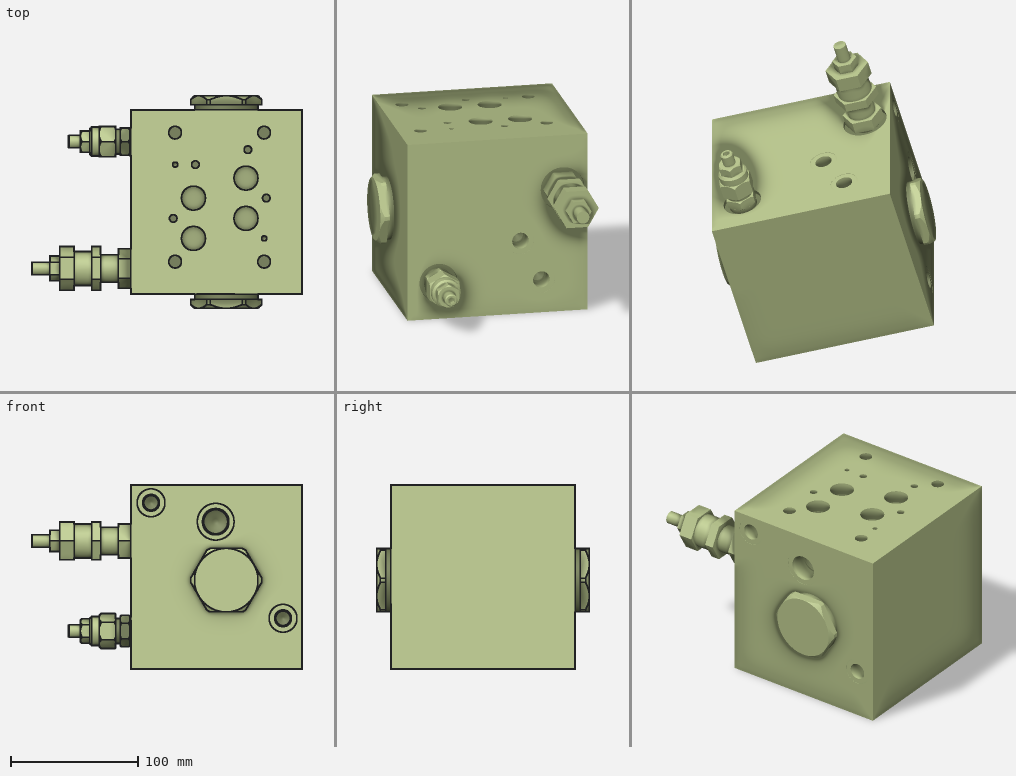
import cadquery as cq
import math


block_length = 135.0
block_side = 145.0

plug_x = 75.2
plug_z = 70.0
plug_flats = 50.0
plug_corner_diameter = 56.0
plug_neck_length = 4.0
overall_width = 167.5
plug_height = (overall_width - block_side) / 2
plug_chamfer = (plug_corner_diameter - plug_flats) / 2

drill_point_angle = 118
port_bore_depth = 15.0
port_drill_depth = 17.0
port_spot_depth = 0.2
small_port = {"spot": 22.0, "bore": 13.2, "drill": 11.5}
large_port = {"spot": 29.0, "bore": 20.9, "drill": 19.0}
front_small_ports = [(16.0, 131.0), (120.0, 40.0)]
front_large_port = (66.9, 116.0)
left_small_ports = [(54.0, 60.0), (37.3, 27.0)]

bolt_x = 35.0
bolt_y = 25.5
bolt_spacing_x = 70.0
bolt_spacing_y = 101.5
bolt_hole_diameter = 10.0
bolt_hole_depth = 21.3
bolt_hole_points = [
    (bolt_x + i * bolt_spacing_x, bolt_y + j * bolt_spacing_y) for i in (0, 1) for j in (0, 1)
]

flow_hole_diameter = 19.0
flow_hole_depth = 10.0
flow_hole_points = [(49.5, 43.9), (49.5, 75.6), (90.7, 59.6), (90.7, 91.4)]

pilot_hole_diameter = 6.0
pilot_hole_depth = 17.0
pilot_hole_points = [(33.5, 59.6), (51.0, 102.0), (92.2, 113.7), (106.7, 75.6)]

pin_hole_diameter = 4.0
pin_hole_depth = 8.5
pin_hole_points = [(35.0, 102.0), (105.0, 43.9)]

seat_depth = 3.2

stem_diameter = 10.0

large_valve_y = 20.2
large_valve_z = 101.0
large_valve_seat_diameter = 35.1
large_base_length = 9.8
large_base_flats = 27.0
large_neck_length = 13.8
large_neck_diameter = 22.0
large_collar_length = 7.2
large_flats = 30.0
large_barrel_length = 13.6
large_barrel_diameter = 27.0
large_cap_length = 11.5
large_nut_length = 7.7
large_nut_flats = 17.0
large_stem_length = 14.3

small_valve_y = 120.1
small_valve_z = 30.0
small_valve_seat_diameter = 30.5
small_flange_length = 0.6
small_flange_diameter = 22.2
small_base_length = 7.7
small_base_flats = 21.7
small_base_chamfer = 1.0
small_neck_length = 3.6
small_neck_diameter = 19.8
small_body_length = 13.0
small_body_flats = 24.0
small_body_inner_chamfer = 0.9
small_body_outer_chamfer = 1.7
small_barrel_length = 7.2
small_barrel_diameter = 23.0
small_barrel_chamfer = 1.5
small_nut_length = 7.5
small_nut_flats = 17.0
small_nut_chamfer = 1.3
small_stem_length = 9.8
small_stem_chamfer = 0.9
socket_flats = 5.1
socket_depth = 4.3


def across_corners(flats):
    """Corner-to-corner width of a hexagon from its width across flats."""
    return flats / math.cos(math.pi / 6)


def drill_cone_height(diameter):
    """Height of the conical end left by a drill."""
    return diameter / 2 / math.tan(math.radians(drill_point_angle / 2))


def drilled_hole(diameter, depth):
    """Hole tool along -Z from the origin, ending in a drill point."""
    radius = diameter / 2
    tip_depth = depth + drill_cone_height(diameter)
    profile = cq.Workplane("XZ").polyline([(0, 0), (radius, 0), (radius, -depth), (0, -tip_depth)]).close()
    return profile.revolve(360, (0, 0, 0), (0, 1, 0))


def port_tool(size):
    """Port tool along -Z from the origin: spot face, bore and drilled hole."""
    spot = cq.Workplane("XY").circle(size["spot"] / 2).extrude(-port_spot_depth)
    bore = cq.Workplane("XY").circle(size["bore"] / 2).extrude(-port_bore_depth)
    return spot.union(bore).union(drilled_hole(size["drill"], port_drill_depth))


def on_front_face(tool, x, z):
    """Turn a tool made along -Z so that it enters the -Y face."""
    return tool.rotate((0, 0, 0), (1, 0, 0), 90).translate((x, 0, z))


def on_left_face(tool, y, z):
    """Turn a tool made along -Z so that it enters the -X face."""
    return tool.rotate((0, 0, 0), (0, 1, 0), -90).translate((0, y, z))


def make_plug():
    """Hexagon plug head along +Z: round neck under a hexagon with trimmed, chamfered corners."""
    neck = cq.Workplane("XY").circle(plug_flats / 2).extrude(plug_neck_length)
    envelope = (
        cq.Workplane("XY")
        .workplane(offset=plug_neck_length)
        .circle(plug_corner_diameter / 2)
        .extrude(plug_height - plug_neck_length)
        .faces(">Z")
        .chamfer(plug_chamfer)
    )
    hexagon = cq.Workplane("XY").polygon(6, across_corners(plug_flats)).extrude(plug_height)
    return neck.union(hexagon.intersect(envelope))


def make_block():
    body = cq.Workplane("XY").box(block_length, block_side, block_side, centered=False)

    front_plug = on_front_face(make_plug(), plug_x, plug_z)
    body = body.union(front_plug)
    body = body.union(front_plug.mirror("XZ", (0, block_side / 2, 0)))

    for x, z in front_small_ports:
        body = body.cut(on_front_face(port_tool(small_port), x, z))
    body = body.cut(on_front_face(port_tool(large_port), *front_large_port))
    for y, z in left_small_ports:
        body = body.cut(on_left_face(port_tool(small_port), y, z))

    for diameter, depth, points in (
        (bolt_hole_diameter, bolt_hole_depth, bolt_hole_points),
        (flow_hole_diameter, flow_hole_depth, flow_hole_points),
        (pilot_hole_diameter, pilot_hole_depth, pilot_hole_points),
    ):
        holes = cq.Workplane("XY", origin=(0, 0, block_side)).pushPoints(points).circle(diameter / 2)
        body = body.cut(holes.extrude(-depth))

    for x, y in pin_hole_points:
        body = body.cut(drilled_hole(pin_hole_diameter, pin_hole_depth).translate((x, y, block_side)))

    for diameter, y, z in (
        (large_valve_seat_diameter, large_valve_y, large_valve_z),
        (small_valve_seat_diameter, small_valve_y, small_valve_z),
    ):
        body = body.cut(on_left_face(cq.Workplane("XY").circle(diameter / 2).extrude(-seat_depth), y, z))
    return body


def round_section(start, length, diameter):
    """Cylinder along +Z from the given height."""
    return cq.Workplane("XY", origin=(0, 0, start)).circle(diameter / 2).extrude(length)


def hex_section(start, length, flats, lower_chamfer=0, upper_chamfer=0):
    """Hexagon along +Z from the given height, with corners on X and turned chamfers at its ends."""
    corners = across_corners(flats)
    hexagon = cq.Workplane("XY", origin=(0, 0, start)).polygon(6, corners).extrude(length)
    envelope = round_section(start, length, corners)
    if lower_chamfer:
        envelope = envelope.faces("<Z").chamfer(lower_chamfer)
    if upper_chamfer:
        envelope = envelope.faces(">Z").chamfer(upper_chamfer)
    return hexagon.intersect(envelope)


def make_large_valve():
    """Plain cartridge valve with hexagon corners on Y and a round spigot down to its seat floor."""
    neck_start = large_base_length
    collar_start = neck_start + large_neck_length
    barrel_start = collar_start + large_collar_length
    cap_start = barrel_start + large_barrel_length
    nut_start = cap_start + large_cap_length
    stem_start = nut_start + large_nut_length
    valve = (
        round_section(-seat_depth, seat_depth, large_neck_diameter)
        .union(hex_section(0, large_base_length, large_base_flats))
        .union(round_section(neck_start, large_neck_length, large_neck_diameter))
        .union(hex_section(collar_start, large_collar_length, large_flats))
        .union(round_section(barrel_start, large_barrel_length, large_barrel_diameter))
        .union(hex_section(cap_start, large_cap_length, large_flats))
        .union(hex_section(nut_start, large_nut_length, large_nut_flats))
        .union(round_section(stem_start, large_stem_length, stem_diameter))
    )
    return on_left_face(valve.rotate((0, 0, 0), (0, 0, 1), 90), large_valve_y, large_valve_z)


def make_small_valve():
    """Cartridge valve with a round flange, chamfered hexagons with corners on Z, and a socketed stem."""
    base_start = small_flange_length
    neck_start = base_start + small_base_length
    body_start = neck_start + small_neck_length
    barrel_start = body_start + small_body_length
    nut_start = barrel_start + small_barrel_length
    stem_start = nut_start + small_nut_length
    stem_end = stem_start + small_stem_length

    flange = round_section(-seat_depth, small_flange_length + seat_depth, small_flange_diameter)
    base = hex_section(
        base_start, small_base_length, small_base_flats, small_base_chamfer, small_base_chamfer
    )
    body = hex_section(
        body_start, small_body_length, small_body_flats, small_body_inner_chamfer, small_body_outer_chamfer
    )
    barrel = round_section(barrel_start, small_barrel_length, small_barrel_diameter)
    barrel = barrel.faces(">Z").chamfer(small_barrel_chamfer)
    stem = round_section(stem_start, small_stem_length, stem_diameter).faces(">Z").chamfer(small_stem_chamfer)
    valve = (
        flange.union(base)
        .union(round_section(neck_start, small_neck_length, small_neck_diameter))
        .union(body)
        .union(barrel)
        .union(hex_section(nut_start, small_nut_length, small_nut_flats, 0, small_nut_chamfer))
        .union(stem)
        .cut(hex_section(stem_end - socket_depth, socket_depth, socket_flats))
    )
    return on_left_face(valve, small_valve_y, small_valve_z)


block = make_block()
large_valve = make_large_valve()
small_valve = make_small_valve()

result = cq.Compound.makeCompound([block.val(), large_valve.val(), small_valve.val()])